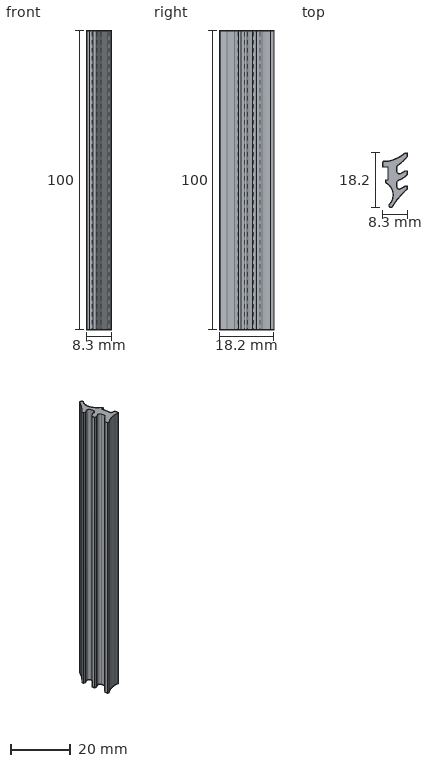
import cadquery as cq

width = 8.3
depth = 18.2
length = 100.0

web_left = 1.8
web_right = 4.8
flange_top = 15.5
flange_bottom = 13.5
flange_corner_radius = 0.6
lip_left = 1.0
lip_top = 9.2
lip_bottom = 8.3

tip_land = 0.8
tip_left = width - tip_land
upper_tip_height = 1.2
middle_tip_top = 12.2
middle_tip_height = 1.2
lower_tip_top = 7.1
lower_tip_height = 0.9

upper_gap_top = 13.8
upper_gap_bottom = 10.7
lower_gap_top = 8.9
lower_gap_bottom = 5.6
gap_corner_radius = 0.8

tail_left = (2.2, 1.0)
tail_bottom = (2.8, 0)
tail_right = (3.3, 0.3)
tail_root = (4.8, 2.5)
lower_fin_bend = (7.0, 5.0)

crown_start = (2.0, flange_top)
crown_middle = (4.9, 16.5)
upper_fin_underside = (6.8, 15.4)
middle_fin_underside = (6.7, 9.7)
tail_inner_middle = (3.5, 4.1)


def build_profile():
    """Closed outline, clockwise from the lower left corner of the flange."""
    return (
        cq.Workplane("XY")
        .moveTo(0, flange_bottom)
        .lineTo(0, flange_top)
        .lineTo(*crown_start)
        .threePointArc(crown_middle, (tip_left, depth))
        .lineTo(width, depth)
        .lineTo(width, depth - upper_tip_height)
        .threePointArc(upper_fin_underside, (web_right, upper_gap_top))
        .lineTo(web_right, upper_gap_bottom)
        .lineTo(tip_left, middle_tip_top)
        .lineTo(width, middle_tip_top)
        .lineTo(width, middle_tip_top - middle_tip_height)
        .threePointArc(middle_fin_underside, (web_right, lower_gap_top))
        .lineTo(web_right, lower_gap_bottom)
        .lineTo(tip_left, lower_tip_top)
        .lineTo(width, lower_tip_top)
        .lineTo(width, lower_tip_top - lower_tip_height)
        .lineTo(*lower_fin_bend)
        .lineTo(*tail_root)
        .lineTo(*tail_right)
        .threePointArc(tail_bottom, tail_left)
        .threePointArc(tail_inner_middle, (lip_left, lip_bottom))
        .lineTo(lip_left, lip_top)
        .lineTo(web_left, lip_top)
        .lineTo(web_left, flange_bottom)
        .close()
    )


def round_edge(body, x, y, radius):
    """Round the lengthwise edge that passes through (x, y)."""
    edge = cq.selectors.NearestToPointSelector((x, y, length / 2))
    return body.edges("|Z").edges(edge).fillet(radius)


result = build_profile().extrude(length)
result = round_edge(result, 0, flange_top, flange_corner_radius)
for gap_corner in (upper_gap_top, upper_gap_bottom, lower_gap_top, lower_gap_bottom):
    result = round_edge(result, web_right, gap_corner, gap_corner_radius)